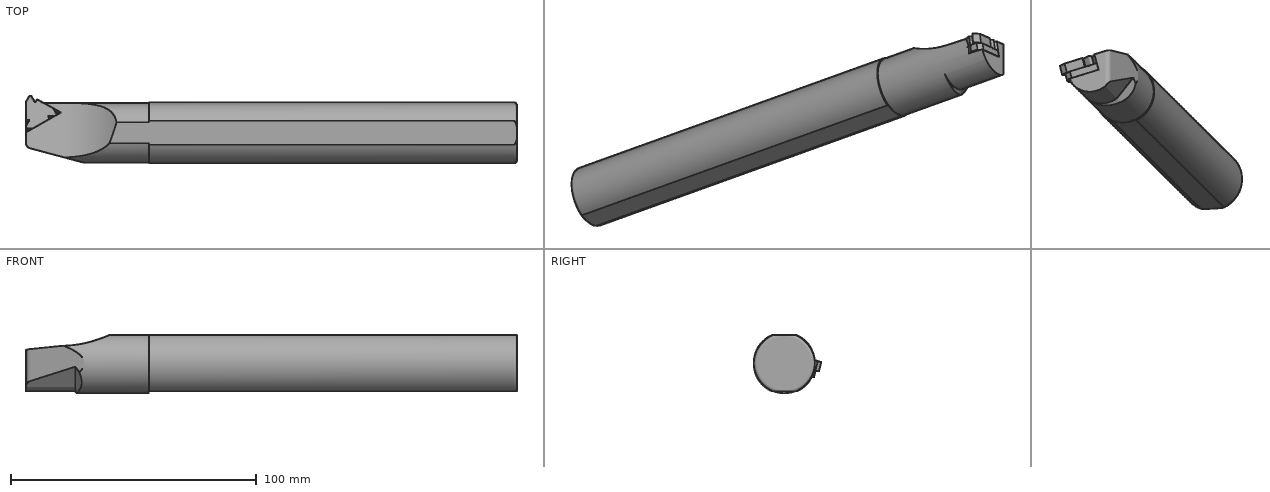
import cadquery as cq
import math


overall_length = 200.0
shank_radius = 12.5
flat_height = 11.5
end_round = 1.5
neck_length = 50.0
neck_radius = 12.25

inclination = math.radians(14.0)
helix = math.radians(2.0)
rake_height = 4.16
tip_reach = 15.08
chip_flat_length = 16.0
chip_curve_radius = 36.0

relief_angle = math.radians(15.0)
relief_start_y = -5.87
relief_corner_radius = 2.2

clearance_length = 20.0
clearance_taper = 45.0
clearance_runout = 3.0
bevel_angle = math.radians(50.0)
clearance_corner = (-4.3, -9.7)
clearance_bottom = (1.0, -11.5)
clearance_exit_y = 11.0

inscribed_radius = 9.525 / 2
insert_thickness = 3.9
shim_thickness = 2.9
shim_side_end = 3.3
shim_top = 5.7
tooth_angle = math.radians(60.0)
tooth_offset = 1.8
tooth_tip_radius = 0.65
root_height = 4.5
root_width = 0.2

seat_opening = 1.0
margin = 20.0

half_side = inscribed_radius * math.sqrt(3)
triangle_height = 3 * inscribed_radius
side_angle = math.radians(30.0)
side_slope = math.tan(side_angle)
tooth_center_v = half_side - tooth_offset * side_slope - tooth_tip_radius / math.cos(side_angle)
tooth_height = tooth_center_v + tooth_tip_radius
slope_x = math.tan(helix)
slope_y = math.tan(inclination)
insert_center_y = tip_reach - tooth_height * math.cos(inclination)
rake_normal = cq.Vector(-slope_x, slope_y, 1)
down_slope = cq.Vector(0, 1, -slope_y)
rake_plane = cq.Plane(
    origin=(0, insert_center_y, rake_height - slope_y * insert_center_y),
    xDir=down_slope.cross(rake_normal),
    normal=rake_normal,
)


def rotate_about_insert_center(point, angle):
    """Turn a point of the rake plane about the middle of the triangle."""
    u = point[0] - inscribed_radius
    v = point[1]
    return (
        inscribed_radius + u * math.cos(angle) - v * math.sin(angle),
        u * math.sin(angle) + v * math.cos(angle),
    )


def make_bar():
    shank = (
        cq.Workplane("YZ", origin=(neck_length, 0, 0))
        .circle(shank_radius)
        .extrude(overall_length - neck_length)
        .faces(">X").edges().fillet(end_round)
        .faces("<X").edges().chamfer(shank_radius - neck_radius)
    )
    shank_flats = cq.Workplane("XY").box(
        2 * overall_length, 4 * shank_radius, 2 * flat_height
    )
    neck = cq.Workplane("YZ").circle(neck_radius).extrude(neck_length)
    above_flat = (
        cq.Workplane("XY", origin=(0, 0, flat_height))
        .rect(4 * neck_length, 4 * neck_radius)
        .extrude(margin)
    )
    return neck.cut(above_flat).union(shank.intersect(shank_flats))


def make_chip_cutter():
    """Space above the rake plane, rising in a tangent arc behind the insert."""
    arc_turn = math.radians(60.0)

    def arc_point(turn):
        return (
            chip_flat_length + chip_curve_radius * math.sin(turn),
            chip_curve_radius * (1 - math.cos(turn)),
        )

    side_plane = cq.Plane(
        origin=rake_plane.origin, xDir=rake_plane.xDir, normal=-rake_plane.yDir
    )
    return (
        cq.Workplane(side_plane)
        .moveTo(-margin, 0)
        .lineTo(chip_flat_length, 0)
        .threePointArc(arc_point(arc_turn / 2), arc_point(arc_turn))
        .lineTo(-margin, arc_point(arc_turn)[1])
        .close()
        .extrude(2 * margin, both=True)
    )


def make_relief_cutter():
    """Space outside the angled -Y side, with the vertical corner at the tip rounded."""
    tangent = relief_corner_radius * math.tan((math.pi / 2 - relief_angle) / 2)
    far_x = 2 * margin
    center = (relief_corner_radius, relief_start_y + tangent)
    mid_angle = math.pi + (math.pi / 2 - relief_angle) / 2
    return (
        cq.Workplane("XY", origin=(0, 0, -margin))
        .moveTo(0, relief_start_y + tangent)
        .threePointArc(
            (
                center[0] + relief_corner_radius * math.cos(mid_angle),
                center[1] + relief_corner_radius * math.sin(mid_angle),
            ),
            (tangent * math.cos(relief_angle), relief_start_y - tangent * math.sin(relief_angle)),
        )
        .lineTo(far_x, relief_start_y - far_x * math.tan(relief_angle))
        .lineTo(-margin, relief_start_y - far_x * math.tan(relief_angle))
        .lineTo(-margin, relief_start_y + tangent)
        .close()
        .extrude(2 * margin)
    )


def make_clearance_cutter():
    """Space under the head, ending in a wall that slopes out to the neck."""
    corner_y, corner_z = clearance_corner
    bevel_rise = margin * math.tan(bevel_angle)
    exit_z = -math.sqrt(neck_radius**2 - clearance_exit_y**2)

    def kept_outline(x):
        return (
            cq.Workplane("YZ", origin=(x, 0, 0))
            .moveTo(corner_y - margin, corner_z + bevel_rise)
            .lineTo(corner_y, corner_z)
            .threePointArc(clearance_bottom, (clearance_exit_y, exit_z))
            .lineTo(margin, exit_z)
            .lineTo(margin, corner_z + bevel_rise)
            .close()
        )

    kept = kept_outline(0).extrude(clearance_length)
    sloped = kept_outline(clearance_length).extrude(clearance_runout, taper=-clearance_taper)
    around = (
        cq.Workplane("YZ")
        .rect(2 * margin, 2 * margin)
        .extrude(clearance_length + clearance_runout)
    )
    return around.cut(kept).cut(sloped)


def make_pocket():
    """Plain triangular seat for the insert and the shim, open through the end face."""
    opening_half = half_side + seat_opening * side_slope
    return (
        cq.Workplane(rake_plane)
        .polyline([
            (-seat_opening, opening_half),
            (triangle_height, 0),
            (-seat_opening, -opening_half),
        ])
        .close()
        .extrude(-insert_thickness - shim_thickness)
    )


def make_shim():
    """Fixed seat under the insert, cut back at its outer corner by a flank and a flat top."""
    flank_end_u = (shim_top - shim_side_end) * math.tan(tooth_angle / 2)
    top_end_u = (half_side - shim_top) / side_slope
    return (
        cq.Workplane(rake_plane)
        .workplane(offset=-insert_thickness)
        .polyline([
            (0, shim_side_end),
            (flank_end_u, shim_top),
            (top_end_u, shim_top),
            (triangle_height, 0),
            (0, -half_side),
        ])
        .close()
        .extrude(-shim_thickness)
    )


def make_holder():
    body = make_bar()
    body = body.cut(make_chip_cutter())
    body = body.cut(make_relief_cutter())
    body = body.cut(make_clearance_cutter())
    body = body.cut(make_pocket())
    return body.union(make_shim())


def make_insert():
    """Triangle with the same rounded tooth and groove at each of its three corners."""
    flank_run = math.tan(tooth_angle / 2)
    tangent_u = tooth_tip_radius * math.cos(tooth_angle / 2)
    tangent_v = tooth_center_v + tooth_tip_radius * math.sin(tooth_angle / 2)
    root_start_u = tooth_offset + tangent_u + (tangent_v - root_height) * flank_run
    root_end_u = root_start_u + root_width
    side_v_at_root = half_side - root_end_u * side_slope
    crest_rise = (side_v_at_root - root_height) / (1 + flank_run * side_slope)

    crest = (root_end_u + crest_rise * flank_run, root_height + crest_rise)
    root_end = (root_end_u, root_height)
    root_start = (root_start_u, root_height)
    right_tangent = (tooth_offset + tangent_u, tangent_v)
    tip = (tooth_offset, tooth_height)
    left_tangent = (tooth_offset - tangent_u, tangent_v)
    flank_end = (0, tangent_v - left_tangent[0] / flank_run)

    outline = cq.Workplane(rake_plane).moveTo(*crest)
    for corner in range(3):
        def turned(point):
            return rotate_about_insert_center(point, corner * 2 * math.pi / 3)

        if corner > 0:
            outline = outline.lineTo(*turned(crest))
        outline = (
            outline.lineTo(*turned(root_end))
            .lineTo(*turned(root_start))
            .lineTo(*turned(right_tangent))
            .threePointArc(turned(tip), turned(left_tangent))
            .lineTo(*turned(flank_end))
        )
    return outline.close().extrude(-insert_thickness)


holder = make_holder()
insert = make_insert()

result = cq.Compound.makeCompound([holder.solids().val(), insert.val()])